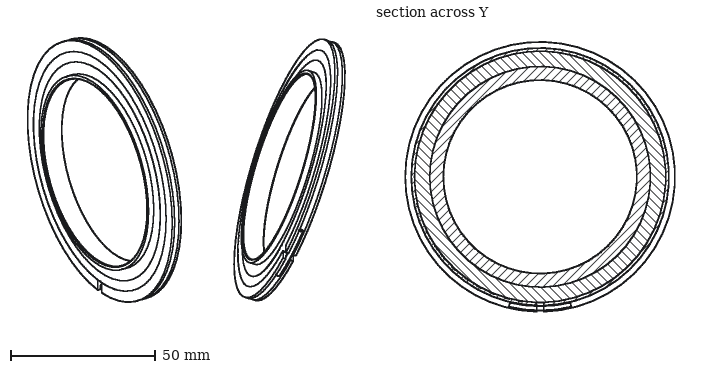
import cadquery as cq
import math


assembly_width = 8.0
bore_radius = 33.5
collar_radius = 34.85
bore_chamfer = 0.3
ring_half_width = 1.9

oring_centre_radius = 41.0
oring_section_radius = 2.65

outer_ring_radius = 46.8
split_width = 2.5

tube_centre_radius = 45.6
tube_outer_radius = 0.9
tube_inner_radius = 0.7
tube_half_angle = 13.5

collar_half_width = assembly_width / 2
seat_half_chord = math.sqrt(oring_section_radius**2 - ring_half_width**2)
oring_inner_radius = oring_centre_radius - oring_section_radius
oring_outer_radius = oring_centre_radius + oring_section_radius
inner_seat_edge = oring_centre_radius - seat_half_chord
outer_seat_edge = oring_centre_radius + seat_half_chord
groove_floor_radius = tube_centre_radius - tube_outer_radius
axis_start = (0, 0, 0)
axis_end = (0, 1, 0)


def make_inner_ring():
    """Collar with chamfered bore and a web hollowed to seat the O-ring."""
    chamfer_radius = bore_radius + bore_chamfer
    chamfer_start = collar_half_width - bore_chamfer
    return (
        cq.Workplane("XY")
        .moveTo(bore_radius, -chamfer_start)
        .lineTo(chamfer_radius, -collar_half_width)
        .lineTo(collar_radius, -collar_half_width)
        .lineTo(collar_radius, -ring_half_width)
        .lineTo(inner_seat_edge, -ring_half_width)
        .threePointArc((oring_inner_radius, 0), (inner_seat_edge, ring_half_width))
        .lineTo(collar_radius, ring_half_width)
        .lineTo(collar_radius, collar_half_width)
        .lineTo(chamfer_radius, collar_half_width)
        .lineTo(bore_radius, chamfer_start)
        .close()
        .revolve(360, axis_start, axis_end)
    )


def make_oring():
    """Full torus clamped between the inner and outer rings."""
    return (
        cq.Workplane("XY")
        .center(oring_centre_radius, 0)
        .circle(oring_section_radius)
        .revolve(360, (-oring_centre_radius, 0, 0), (-oring_centre_radius, 1, 0))
    )


def make_outer_ring():
    """Ring with an O-ring seat inside, a round-bottomed groove outside and a split at the bottom."""
    ring = (
        cq.Workplane("XY")
        .moveTo(outer_seat_edge, -ring_half_width)
        .lineTo(outer_ring_radius, -ring_half_width)
        .lineTo(outer_ring_radius, -tube_outer_radius)
        .lineTo(tube_centre_radius, -tube_outer_radius)
        .threePointArc((groove_floor_radius, 0), (tube_centre_radius, tube_outer_radius))
        .lineTo(outer_ring_radius, tube_outer_radius)
        .lineTo(outer_ring_radius, ring_half_width)
        .lineTo(outer_seat_edge, ring_half_width)
        .threePointArc((oring_outer_radius, 0), (outer_seat_edge, -ring_half_width))
        .close()
        .revolve(360, axis_start, axis_end)
    )
    split = (
        cq.Workplane("XY")
        .box(split_width, assembly_width, outer_ring_radius, centered=(True, True, False))
        .translate((0, 0, -outer_ring_radius))
    )
    return ring.cut(split)


def make_tube():
    """Short curved tube lying in the outer groove and bridging the split."""
    tube = (
        cq.Workplane("XY")
        .center(tube_centre_radius, 0)
        .circle(tube_outer_radius)
        .circle(tube_inner_radius)
        .revolve(2 * tube_half_angle, (-tube_centre_radius, 0, 0), (-tube_centre_radius, 1, 0))
    )
    return tube.rotate(axis_start, axis_end, 90 - tube_half_angle)


inner_ring = make_inner_ring()
oring = make_oring()
outer_ring = make_outer_ring()
tube = make_tube()

result = cq.Compound.makeCompound(
    [inner_ring.val(), oring.val(), outer_ring.val(), tube.val()]
)